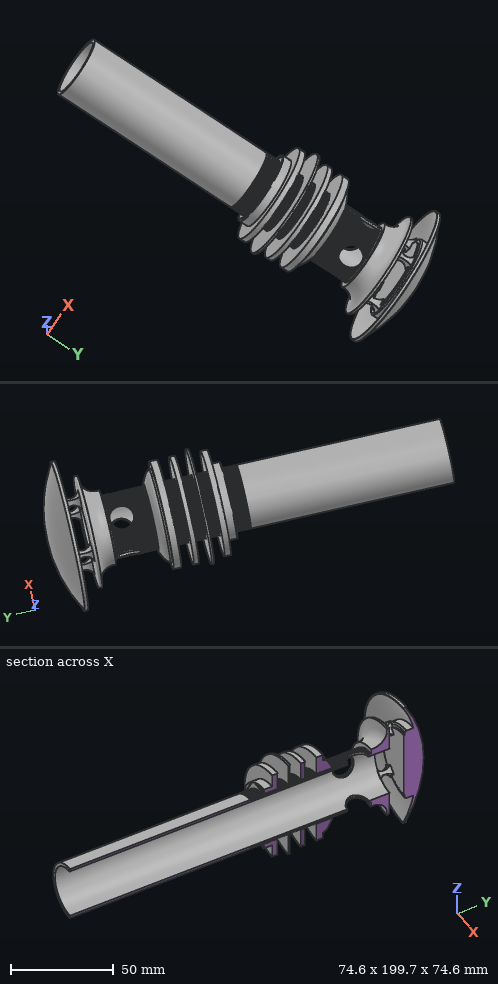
import cadquery as cq
import math

LENGTH = 199.7

CAP_RADIUS = 37.3
DOME_RIM_RADIUS = 36.5
DOME_HEIGHT = 10.0
RIM_BOTTOM_Y = LENGTH - 11.8
HUB_RADIUS = 22.0
HUB_BOTTOM_Y = LENGTH - 10.8
HUB_CHAMFER = 0.8
HUB_STEP_RADIUS = 19.5
HUB_STEP_HEIGHT = 0.5
HOLLOW_TOP_Y = LENGTH - 6.0
RIM_WALL = 0.4
HOLLOW_SAG = 0.5

POST_COUNT = 4
POST_CIRCLE_RADIUS = 18.8
POST_HALF_RADIAL = 1.5
POST_HALF_TANGENTIAL = 1.0
POST_FLARE = 2.2

FLANGE_RADIUS = 28.0
FLANGE_TOP_Y = LENGTH - 19.4
FLANGE_THICKNESS = 1.5
FLANGE_EDGE_ROUNDING = 0.8
BELL_COVE_RADIUS = 7.8
BELL_BOTTOM_RADIUS = 18.5
BELL_LIP_HEIGHT = 1.2

TUBE_RADIUS = 16.0
BORE_RADIUS = 14.2
THREAD_BOTTOM_Y = LENGTH - 98.0
THREAD_PITCH = 1.2
THREAD_DEPTH = 0.5
OVERFLOW_RADIUS = 6.0
OVERFLOW_Y = LENGTH - 37.1

GASKET_RADIUS = 27.0
GASKET_BOTTOM_Y = LENGTH - 60.7
GASKET_DISC_HEIGHT = 3.8
GASKET_CROWN_RINGS = [(23.5, 0), (23.4, 1.0), (22.4, 2.2), (20.8, 3.4), (17.2, 5.2), (TUBE_RADIUS, 5.2)]

WASHER_RADIUS = 27.0
WASHER_BOTTOM_Y = LENGTH - 69.5
WASHER_THICKNESS = 2.5

FRICTION_RING_RADIUS = 28.8
FRICTION_RING_BOTTOM_Y = LENGTH - 76.7
FRICTION_RING_THICKNESS = 1.2

NUT_RADIUS = 26.4
NUT_TOP_Y = LENGTH - 82.5
NUT_FLANGE_THICKNESS = 3.2
NUT_COLLAR_RADIUS = 19.2
NUT_COLLAR_HEIGHT = 4.5
NUT_HEX_APOTHEM = 17.4
NUT_HEX_HEIGHT = 0.4
NUT_HEX_TURN = 30


def revolve_about_y(profile):
    """Revolve a closed (radius, y) profile a full turn about the Y axis."""
    return profile.close().revolve(360, (0, 0, 0), (0, 1, 0))


def ring(outer_radius, inner_radius, bottom_y, height):
    """Plain annular disc standing on bottom_y."""
    section = (
        cq.Workplane("XY")
        .moveTo(inner_radius, bottom_y)
        .lineTo(outer_radius, bottom_y)
        .lineTo(outer_radius, bottom_y + height)
        .lineTo(inner_radius, bottom_y + height)
    )
    return revolve_about_y(section)


def sagged_midpoint(start, end, sag):
    """Point off the middle of a chord, to the left of the direction start to end."""
    dx = end[0] - start[0]
    dy = end[1] - start[1]
    chord = math.hypot(dx, dy)
    mid_x = (start[0] + end[0]) / 2
    mid_y = (start[1] + end[1]) / 2
    return (mid_x - sag * dy / chord, mid_y + sag * dx / chord)


def dome_cap():
    """Spherical cap with a short rim, hollow underneath around a chamfered, stepped hub."""
    dome_radius = (DOME_RIM_RADIUS**2 + DOME_HEIGHT**2) / (2 * DOME_HEIGHT)
    half_rim = DOME_RIM_RADIUS / 2
    dome_middle = (half_rim, LENGTH - dome_radius + math.sqrt(dome_radius**2 - half_rim**2))
    dome_edge_y = LENGTH - DOME_HEIGHT
    hollow_inner = (HUB_RADIUS, HOLLOW_TOP_Y)
    hollow_outer = (CAP_RADIUS - RIM_WALL, RIM_BOTTOM_Y)
    profile = (
        cq.Workplane("XY")
        .moveTo(0, LENGTH)
        .threePointArc(dome_middle, (DOME_RIM_RADIUS, dome_edge_y))
        .lineTo(CAP_RADIUS, dome_edge_y)
        .lineTo(CAP_RADIUS, RIM_BOTTOM_Y)
        .lineTo(*hollow_outer)
        .threePointArc(sagged_midpoint(hollow_inner, hollow_outer, HOLLOW_SAG), hollow_inner)
        .lineTo(HUB_RADIUS, HUB_BOTTOM_Y + HUB_CHAMFER)
        .lineTo(HUB_RADIUS - HUB_CHAMFER, HUB_BOTTOM_Y)
        .lineTo(HUB_STEP_RADIUS, HUB_BOTTOM_Y)
        .lineTo(HUB_STEP_RADIUS, HUB_BOTTOM_Y - HUB_STEP_HEIGHT)
        .lineTo(0, HUB_BOTTOM_Y - HUB_STEP_HEIGHT)
    )
    return revolve_about_y(profile)


def waisted_bar(plane, half_width):
    """Bar with concave sides, wide where it meets the flange and the hub, drawn on one plane."""
    wide = half_width + POST_FLARE
    mid_y = (FLANGE_TOP_Y + HUB_BOTTOM_Y) / 2
    return (
        cq.Workplane(plane)
        .moveTo(-wide, FLANGE_TOP_Y)
        .lineTo(wide, FLANGE_TOP_Y)
        .threePointArc((half_width, mid_y), (wide, HUB_BOTTOM_Y))
        .lineTo(-wide, HUB_BOTTOM_Y)
        .threePointArc((-half_width, mid_y), (-wide, FLANGE_TOP_Y))
        .close()
        .extrude(2 * (POST_HALF_RADIAL + POST_FLARE), both=True)
    )


def post(angle):
    """Post that is waisted both radially and tangentially, turned about Y by an angle in degrees."""
    radial_profile = waisted_bar(cq.Plane((0, 0, 0), (1, 0, 0), (0, 0, 1)), POST_HALF_RADIAL)
    tangential_profile = waisted_bar(cq.Plane((0, 0, 0), (0, 0, -1), (1, 0, 0)), POST_HALF_TANGENTIAL)
    upright = radial_profile.intersect(tangential_profile)
    return upright.translate((POST_CIRCLE_RADIUS, 0, 0)).rotate((0, 0, 0), (0, 1, 0), angle)


def threaded_drain_tube():
    """Flange, bell, threaded stretch and plain outlet tube around one bore."""
    flange_bottom_y = FLANGE_TOP_Y - FLANGE_THICKNESS
    lip_top_y = flange_bottom_y - BELL_COVE_RADIUS
    bell_bottom_y = lip_top_y - BELL_LIP_HEIGHT
    root_radius = TUBE_RADIUS - THREAD_DEPTH
    groove_count = int((bell_bottom_y - THREAD_BOTTOM_Y) / THREAD_PITCH)

    profile = (
        cq.Workplane("XY")
        .moveTo(BORE_RADIUS, FLANGE_TOP_Y)
        .lineTo(FLANGE_RADIUS - FLANGE_EDGE_ROUNDING, FLANGE_TOP_Y)
        .radiusArc((FLANGE_RADIUS, FLANGE_TOP_Y - FLANGE_EDGE_ROUNDING), FLANGE_EDGE_ROUNDING)
        .lineTo(FLANGE_RADIUS, flange_bottom_y)
        .lineTo(BELL_BOTTOM_RADIUS + BELL_COVE_RADIUS, flange_bottom_y)
        .radiusArc((BELL_BOTTOM_RADIUS, lip_top_y), -BELL_COVE_RADIUS)
        .lineTo(BELL_BOTTOM_RADIUS, bell_bottom_y)
        .lineTo(TUBE_RADIUS, bell_bottom_y)
    )
    for groove in reversed(range(groove_count)):
        groove_y = THREAD_BOTTOM_Y + groove * THREAD_PITCH
        profile = (
            profile.lineTo(TUBE_RADIUS, groove_y + THREAD_PITCH)
            .lineTo(root_radius, groove_y + THREAD_PITCH / 2)
        )
    profile = (
        profile.lineTo(TUBE_RADIUS, THREAD_BOTTOM_Y)
        .lineTo(TUBE_RADIUS, 0)
        .lineTo(BORE_RADIUS, 0)
    )
    return revolve_about_y(profile)


def overflow_holes():
    """Two crossing drills along X and Z that pierce the tube below the bell."""
    reach = 2 * TUBE_RADIUS
    along_x = cq.Workplane("YZ").center(OVERFLOW_Y, 0).circle(OVERFLOW_RADIUS).extrude(reach, both=True)
    along_z = cq.Workplane("XY").center(0, OVERFLOW_Y).circle(OVERFLOW_RADIUS).extrude(reach, both=True)
    return along_x.union(along_z)


def make_drain_body():
    """Cap, posts, flange and threaded tube in one piece."""
    body = threaded_drain_tube().cut(overflow_holes())
    for index in range(POST_COUNT):
        body = body.union(post((index + 0.5) * 360 / POST_COUNT))
    return body.union(dome_cap())


def make_gasket():
    """Disc with a crown of ever flatter conical bands that narrows towards the thread."""
    disc_top_y = GASKET_BOTTOM_Y + GASKET_DISC_HEIGHT
    profile = (
        cq.Workplane("XY")
        .moveTo(TUBE_RADIUS, GASKET_BOTTOM_Y)
        .lineTo(GASKET_RADIUS, GASKET_BOTTOM_Y)
        .lineTo(GASKET_RADIUS, disc_top_y)
    )
    for radius, height in GASKET_CROWN_RINGS:
        profile = profile.lineTo(radius, disc_top_y + height)
    return revolve_about_y(profile)


def make_washer():
    return ring(WASHER_RADIUS, TUBE_RADIUS, WASHER_BOTTOM_Y, WASHER_THICKNESS)


def make_friction_ring():
    return ring(FRICTION_RING_RADIUS, TUBE_RADIUS, FRICTION_RING_BOTTOM_Y, FRICTION_RING_THICKNESS)


def make_nut():
    """Flanged round collar whose outlet end carries a shallow hexagon with rounded-off corners."""
    flange_bottom_y = NUT_TOP_Y - NUT_FLANGE_THICKNESS
    collar_bottom_y = flange_bottom_y - NUT_COLLAR_HEIGHT
    hex_bottom_y = collar_bottom_y - NUT_HEX_HEIGHT
    flange = ring(NUT_RADIUS, TUBE_RADIUS, flange_bottom_y, NUT_FLANGE_THICKNESS)
    collar = ring(NUT_COLLAR_RADIUS, TUBE_RADIUS, collar_bottom_y, NUT_COLLAR_HEIGHT)
    hexagon = (
        cq.Workplane("XZ", origin=(0, collar_bottom_y, 0))
        .polygon(6, 2 * NUT_HEX_APOTHEM, circumscribed=True)
        .extrude(NUT_HEX_HEIGHT)
        .rotate((0, 0, 0), (0, 1, 0), NUT_HEX_TURN)
    )
    corner_limit = ring(NUT_COLLAR_RADIUS, TUBE_RADIUS, hex_bottom_y, NUT_HEX_HEIGHT)
    return flange.union(collar).union(hexagon.intersect(corner_limit))


drain_body = make_drain_body()
gasket = make_gasket()
washer = make_washer()
friction_ring = make_friction_ring()
nut = make_nut()

result = cq.Compound.makeCompound(
    [drain_body.val(), gasket.val(), washer.val(), friction_ring.val(), nut.val()]
)